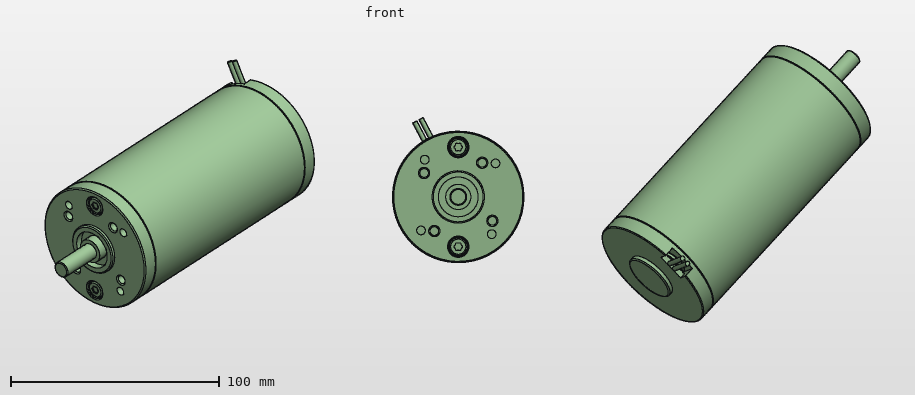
import cadquery as cq
import math

body_diameter = 63.0
front_cap_length = 8.0
tube_length = 111.5
rear_cap_length = 7.6
joint_groove_width = 0.5
joint_groove_depth = 0.2
front_rim_chamfer = 0.6
rear_rim_chamfer = 0.5

boss_diameter = 25.0
boss_chamfer = 0.6
front_boss_height = 2.0
rear_boss_height = 2.5
recess_diameter = 19.0
recess_depth = 3.7

shoulder_diameter = 12.0
shoulder_projection = 1.4
shaft_diameter = 8.0
shaft_length = 21.8
shaft_chamfer = 0.5

screw_offset = 23.8
counterbore_diameter = 9.3
counterbore_depth = 1.5
counterbore_chamfer = 0.5
screw_head_diameter = 8.5
screw_head_height = 1.2
screw_head_chamfer = 0.6
socket_core_diameter = 3.4
socket_lobe_diameter = 1.1
socket_lobe_offset = 1.5
socket_lobes = 6
socket_depth = 0.8

mounting_hole_depth = 5.4
plain_hole_diameter = 4.2
plain_hole_circle = 48.0
plain_hole_angle = 42
sunk_hole_diameter = 4.2
sunk_hole_chamfer = 0.6
sunk_hole_circle = 40.0
sunk_hole_angle = 55

cable_angle = 27.8
notch_width = 13.8
notch_depth = 5.3
notch_floor_radius = 24.6
grommet_centre_radius = 20.0
grommet_height = 2.3
grommet_diameter = 13.3
grommet_chamfer = 0.5
wire_diameter = 2.3
wire_spacing = 3.4
wire_tip_radius = 41.5

cut_margin = 1.5

body_radius = body_diameter / 2
front_joint = front_cap_length
rear_joint = front_joint + tube_length
rear_face = rear_joint + rear_cap_length
boss_front = -front_boss_height
boss_rear = rear_face + rear_boss_height
recess_floor = boss_front + recess_depth
shoulder_face = boss_front - shoulder_projection
shaft_tip = shoulder_face - shaft_length
notch_bottom = rear_face - notch_depth
grommet_top = notch_bottom + grommet_height


def rod(diameter, y_start, y_end, centre=(0, 0)):
    """Round rod parallel to Y between two Y positions, centred at (x, z)."""
    base = cq.Workplane("XZ", origin=(centre[0], y_start, centre[1]))
    return base.circle(diameter / 2).extrude(y_start - y_end)


def four_places(circle_diameter, first_angle):
    """Four equally spaced (x, z) places on a circle about the motor axis."""
    radius = circle_diameter / 2
    angles = [math.radians(first_angle + 90 * i) for i in range(4)]
    return [(radius * math.cos(a), radius * math.sin(a)) for a in angles]


def turn_to_cable(shape):
    """Swing a shape built along +Z about the motor axis to the cable exit."""
    return shape.rotate((0, 0, 0), (0, 1, 0), -cable_angle)


def cylinder_with_bosses():
    """Main cylinder with chamfered rims and a boss at each end."""
    cylinder = rod(body_diameter, 0, rear_face)
    cylinder = cylinder.faces("<Y").chamfer(front_rim_chamfer)
    cylinder = cylinder.faces(">Y").chamfer(rear_rim_chamfer)
    bosses = rod(boss_diameter, boss_front, boss_rear).faces("<Y or >Y").chamfer(boss_chamfer)
    return cylinder.union(bosses)


def joint_groove(joint):
    """Fine ring cut where an end cap meets the tube."""
    start = joint - joint_groove_width / 2
    end = joint + joint_groove_width / 2
    core = rod(body_diameter - 2 * joint_groove_depth, start, end)
    return rod(body_diameter + 2 * cut_margin, start, end).cut(core)


def shaft():
    """Output shaft and its shoulder, standing on the floor of the front recess."""
    shoulder = rod(shoulder_diameter, shoulder_face, recess_floor)
    journal = rod(shaft_diameter, shaft_tip, recess_floor).faces("<Y").chamfer(shaft_chamfer)
    return shoulder.union(journal)


def sunk_hole(diameter, depth, chamfer, centre):
    """Blind hole in the front face with a chamfered mouth."""
    mouth_radius = diameter / 2 + chamfer
    mouth = cq.Solid.makeCone(
        mouth_radius, diameter / 2, chamfer, cq.Vector(centre[0], 0, centre[1]), cq.Vector(0, 1, 0)
    )
    return rod(diameter, 0, depth, centre).union(cq.Workplane(mouth))


def screw_head(centre):
    """Cap-screw head with a six-lobe socket, sitting in its counterbore."""
    top = counterbore_depth - screw_head_height
    head = rod(screw_head_diameter, top, counterbore_depth, centre)
    head = head.faces("<Y").chamfer(screw_head_chamfer)
    socket = rod(socket_core_diameter, top, top + socket_depth, centre)
    for i in range(socket_lobes):
        angle = 2 * math.pi * i / socket_lobes
        x = centre[0] + socket_lobe_offset * math.cos(angle)
        z = centre[1] + socket_lobe_offset * math.sin(angle)
        socket = socket.union(rod(socket_lobe_diameter, top, top + socket_depth, (x, z)))
    return head.cut(socket)


def cable_notch():
    """Notch in the rear rim, undercut around the round grommet at its bottom."""
    outer_height = body_radius + cut_margin - notch_floor_radius
    notch = cq.Workplane("XY").box(notch_width, notch_depth, outer_height, centered=(True, False, False))
    notch = notch.translate((0, notch_bottom, notch_floor_radius))

    undercut_height = notch_floor_radius - grommet_centre_radius
    undercut_size = (notch_width, grommet_height, undercut_height)
    undercut = cq.Workplane("XY").box(*undercut_size, centered=(True, False, False))
    undercut = undercut.translate((0, notch_bottom, grommet_centre_radius))

    grommet = rod(grommet_diameter, notch_bottom, grommet_top, (0, grommet_centre_radius))
    grommet = grommet.faces("<Y or >Y").chamfer(grommet_chamfer)
    return turn_to_cable(notch.union(undercut).cut(grommet))


def build_housing():
    """Motor body with its shaft, screws, mounting holes and cable exit."""
    housing = cylinder_with_bosses()
    for joint in (front_joint, rear_joint):
        housing = housing.cut(joint_groove(joint))

    housing = housing.cut(rod(recess_diameter, boss_front, recess_floor))
    housing = housing.union(shaft())

    for z in (-screw_offset, screw_offset):
        housing = housing.cut(sunk_hole(counterbore_diameter, counterbore_depth, counterbore_chamfer, (0, z)))
        housing = housing.union(screw_head((0, z)))

    for place in four_places(plain_hole_circle, plain_hole_angle):
        housing = housing.cut(rod(plain_hole_diameter, 0, mounting_hole_depth, place))
    for place in four_places(sunk_hole_circle, sunk_hole_angle):
        housing = housing.cut(sunk_hole(sunk_hole_diameter, mounting_hole_depth, sunk_hole_chamfer, place))

    return housing.cut(cable_notch())


def build_wire(side):
    """Straight lead standing on the notch floor, flush with the rear face."""
    base = (side * wire_spacing / 2, rear_face - wire_diameter / 2, notch_floor_radius)
    wire = cq.Workplane("XY", origin=base).circle(wire_diameter / 2)
    return turn_to_cable(wire.extrude(wire_tip_radius - notch_floor_radius))


housing = build_housing()
wires = [build_wire(side) for side in (-1, 1)]

result = cq.Compound.makeCompound([housing.val(), *[wire.val() for wire in wires]])